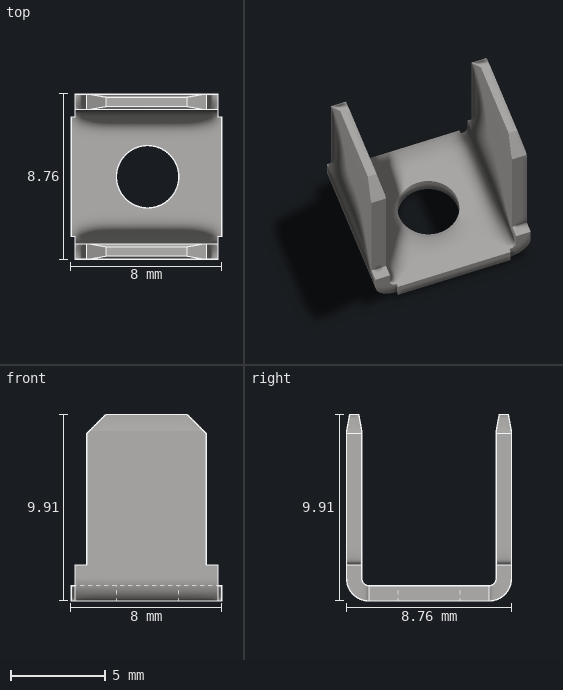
import cadquery as cq

base_length = 8.0
width = 8.76
height = 9.91
thickness = 0.82

outer_radius = 1.2
inner_radius = outer_radius - thickness
bend_length = 7.6

shoulder_height = 1.92
tab_length = 6.36
corner_chamfer = 1.02
tip_bevel_height = 0.9
tip_thickness = 0.5
tip_bevel_depth = (thickness - tip_thickness) / 2

hole_diameter = 3.3
hole_offset_x = 0.06


def block(length, depth, tall):
    """Box centred on X and Y, standing on Z = 0."""
    return cq.Workplane("XY").box(length, depth, tall, centered=(True, True, False))


def make_bent_channel():
    """Constant-thickness U along X, with rounded bends."""
    outer = block(bend_length, width, height).edges("|X and <Z").fillet(outer_radius)
    inner = (
        block(bend_length, width - 2 * thickness, height)
        .edges("|X and <Z")
        .fillet(inner_radius)
        .translate((0, 0, thickness))
    )
    return outer.cut(inner)


def make_tab_outline():
    """Front outline of shoulders and corner-chamfered tab, extruded across Y."""
    shoulders = block(bend_length, width, shoulder_height)
    tab = block(tab_length, width, height).edges("|Y and >Z").chamfer(corner_chamfer)
    return shoulders.union(tab)


def make_tip_bevel(face_y, inward):
    """Wedge removed from one tab face; inward is the Y direction into the metal."""
    return (
        cq.Workplane("YZ")
        .moveTo(face_y, height - tip_bevel_height)
        .lineTo(face_y, height)
        .lineTo(face_y + inward * tip_bevel_depth, height)
        .close()
        .extrude(tab_length / 2, both=True)
    )


body = make_bent_channel().intersect(make_tab_outline())

for side in (-1, 1):
    outer_face = side * width / 2
    inner_face = side * (width / 2 - thickness)
    body = body.cut(make_tip_bevel(outer_face, -side))
    body = body.cut(make_tip_bevel(inner_face, side))

base = block(base_length, width - 2 * outer_radius, thickness)
hole = (
    cq.Workplane("XY")
    .center(hole_offset_x, 0)
    .circle(hole_diameter / 2)
    .extrude(thickness)
)

result = body.union(base).cut(hole)